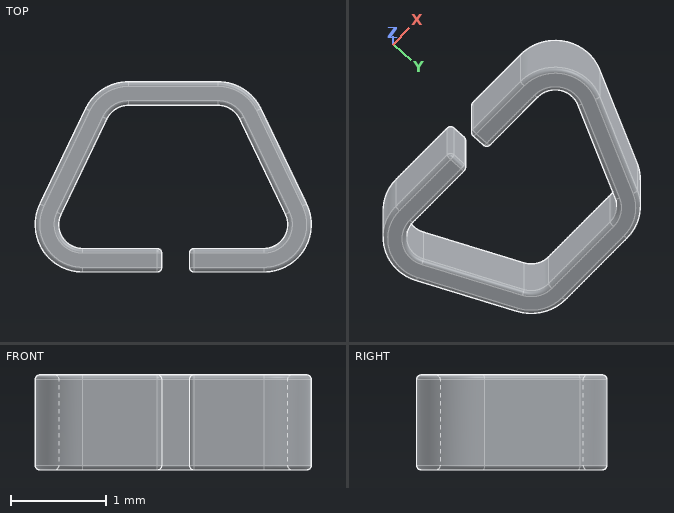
import cadquery as cq

overall_width = 2.9
overall_depth = 2.0
height = 1.0
wall = 0.25
outer_bend_radius = 0.5
top_flat_length = 0.94
gap_left = -0.12
gap_right = 0.17
edge_radius = 0.05

inner_bend_radius = outer_bend_radius - wall
bend_x_bottom = overall_width / 2 - outer_bend_radius
bend_x_top = top_flat_length / 2
bend_y = overall_depth / 2 - outer_bend_radius
bend_centres = [
    (-bend_x_bottom, -bend_y),
    (bend_x_bottom, -bend_y),
    (bend_x_top, bend_y),
    (-bend_x_top, bend_y),
]


def rounded_trapezoid(bend_radius):
    """Prism around the bend centres, its corners rounded with bend_radius."""
    outline = cq.Workplane("XY").workplane(offset=-height / 2).polyline(bend_centres).close()
    return outline.offset2D(bend_radius, "arc").extrude(height)


def opening():
    """Block that splits the long side, at -Y, between the two strip ends."""
    gap_width = gap_right - gap_left
    gap_centre_x = (gap_left + gap_right) / 2
    wall_centre_y = -overall_depth / 2 + wall / 2
    block = cq.Workplane("XY").box(gap_width, 2 * wall, height)
    return block.translate((gap_centre_x, wall_centre_y, 0))


def rounded_edges(strip):
    """Round the edges of both flat faces and the upright edges of the strip ends."""
    strip_ends = strip.faces(cq.selectors.BoxSelector(
        (gap_left - edge_radius, -overall_depth, -height),
        (gap_right + edge_radius, -overall_depth / 2 + wall, height),
    ))
    sharp_edges = strip.faces("|Z").edges().add(strip_ends.edges("|Z"))
    return sharp_edges.fillet(edge_radius)


ring = rounded_trapezoid(outer_bend_radius).cut(rounded_trapezoid(inner_bend_radius))
result = rounded_edges(ring.cut(opening()))